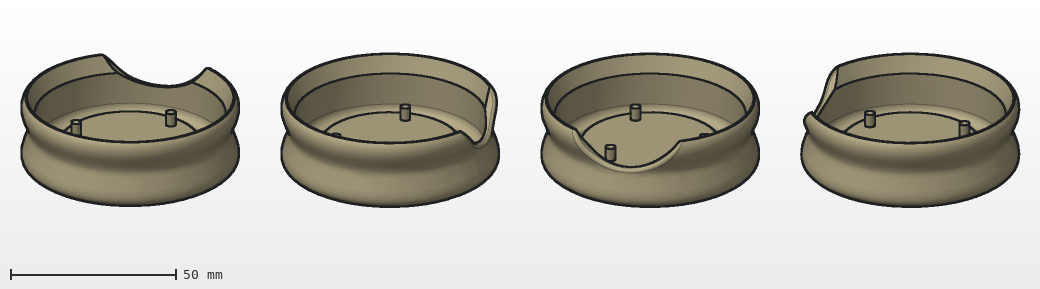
import cadquery as cq
import math

height = 22.5
outer_radius = 33.0
waist_radius = 31.0
waist_height = 11.75
upper_bulge_height = 19.15
lower_bulge_height = 3.8
base_radius = 28.9
rim_outer_radius = 31.7

rim_inner_radius = 31.3
wall_radius = 58.0 / 2
flare_height = 17.1
floor_height = 3.9
cove_radius = 3.0
platform_radius = 42.0 / 2
platform_height = 7.9

pin_diameter = 3.0
pin_length = 4.1
pin_circle_radius = 17.05
pin_count = 3

notch_half_width = 16.2
notch_floor_height = 12.95
notch_edge_round = 1.05


def cove_point(center_radius, center_height, angle):
    """Point on a cove arc, measured from the +radius direction."""
    return (
        center_radius + cove_radius * math.cos(math.radians(angle)),
        center_height + cove_radius * math.sin(math.radians(angle)),
    )


def make_bowl():
    """Revolve the wavy outer wall, stepped floor and flared rim in one section."""
    cove_top = floor_height + cove_radius
    outer_cove_center = wall_radius - cove_radius
    inner_cove_center = platform_radius + cove_radius
    section = (
        cq.Workplane("XZ")
        .lineTo(base_radius, 0)
        .spline(
            [
                (outer_radius, lower_bulge_height),
                (waist_radius, waist_height),
                (outer_radius, upper_bulge_height),
                (rim_outer_radius, height),
            ],
            tangents=[(3, 1), (0, 1), (0, 1), (0, 1), (-1, 1)],
            includeCurrent=True,
        )
        .lineTo(rim_inner_radius, height)
        .lineTo(wall_radius, flare_height)
        .lineTo(wall_radius, cove_top)
        .threePointArc(
            cove_point(outer_cove_center, cove_top, -45),
            (outer_cove_center, floor_height),
        )
        .lineTo(inner_cove_center, floor_height)
        .threePointArc(
            cove_point(inner_cove_center, cove_top, -135),
            (platform_radius, cove_top),
        )
        .lineTo(platform_radius, platform_height)
        .lineTo(0, platform_height)
        .close()
    )
    return section.revolve(360, (0, 0, 0), (0, 1, 0))


def cut_notch(bowl):
    """Cut a circular scallop through the +Y wall and round its outer edge."""
    depth = height - notch_floor_height
    notch_radius = (notch_half_width**2 + depth**2) / (2 * depth)
    notch_center_height = notch_floor_height + notch_radius
    cutter = (
        cq.Workplane("XZ")
        .center(0, notch_center_height)
        .circle(notch_radius)
        .extrude(-2 * outer_radius)
    )
    notched = bowl.cut(cutter)
    outer_edge = notched.faces(">Y").edges(">Y")
    return outer_edge.fillet(notch_edge_round)


def make_pins():
    """Locating pins equally spaced on a circle, one of them on -X."""
    return (
        cq.Workplane("XY")
        .workplane(offset=platform_height)
        .polarArray(pin_circle_radius, 180, 360, pin_count)
        .circle(pin_diameter / 2)
        .extrude(pin_length)
    )


bowl = make_bowl()
result = cut_notch(bowl).union(make_pins())